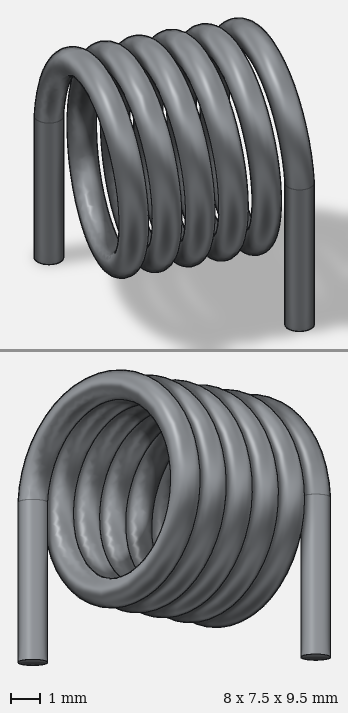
import cadquery as cq

wire_diameter = 1.0
coil_outer_diameter = 8.0
coil_length = 7.5
turns = 5.5
leg_length = 5.5

wire_radius = wire_diameter / 2
winding_radius = coil_outer_diameter / 2 - wire_radius
winding_length = coil_length - wire_diameter
pitch = winding_length / turns

start_point = (-winding_radius, -winding_length / 2, 0)
end_point = (winding_radius, winding_length / 2, 0)


def wire_section(center):
    """Round wire section lying flat at the height of the coil axis."""
    return cq.Workplane("XY", origin=center).circle(wire_radius)


def make_winding():
    """Sweep the wire along a right-handed helix about the Y axis."""
    helix_frame = cq.Plane(
        origin=(0, -winding_length / 2, 0), xDir=(-1, 0, 0), normal=(0, 1, 0)
    )
    helix = cq.Wire.makeHelix(pitch, winding_length, winding_radius)
    path = cq.Workplane("XY").newObject([helix.moved(cq.Location(helix_frame))])
    return wire_section(start_point).sweep(path, isFrenet=True)


def make_leg(top_center):
    """Straight leg running down from one end of the winding."""
    return wire_section(top_center).extrude(-leg_length)


result = make_winding()
for leg_top in (start_point, end_point):
    result = result.union(make_leg(leg_top))